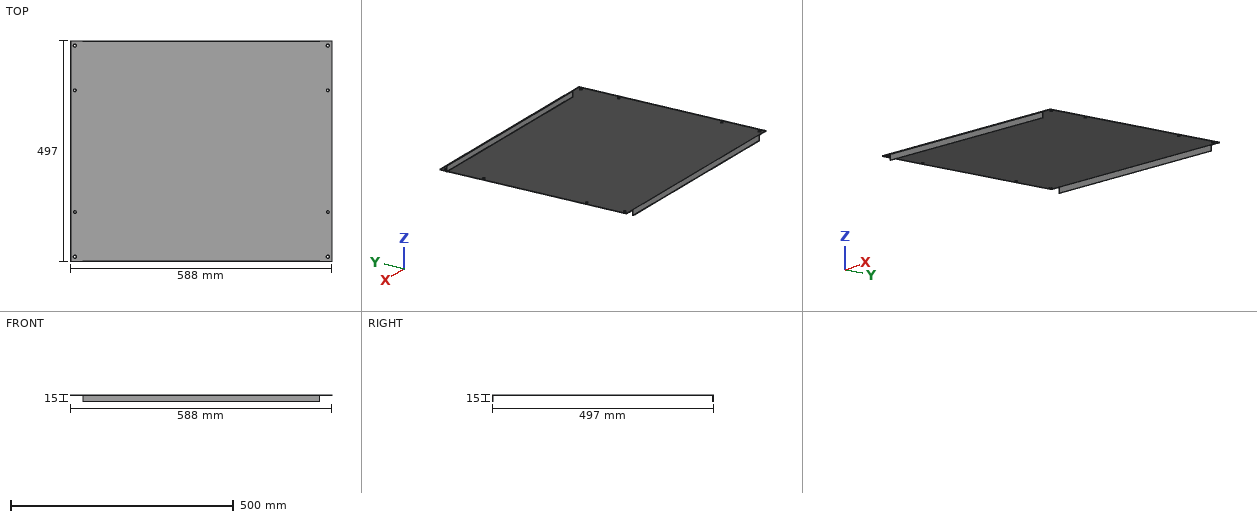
import cadquery as cq

length = 588.0
width = 497.0
height = 15.0
thickness = 1.5

flange_end_gap = 27.5
flange_length = length - 2 * flange_end_gap

hole_edge_distance = 9.5
hole_x = length / 2 - hole_edge_distance
corner_hole_y = 237.5
corner_hole_diameter = 6.5
inner_hole_y = 137.0
inner_hole_diameter = 5.6


def make_plate():
    """Flat sheet with its top face at the full height."""
    return (
        cq.Workplane("XY")
        .workplane(offset=height - thickness)
        .rect(length, width)
        .extrude(thickness)
    )


def make_flange(side):
    """Upright strip flush with the front (-1) or back (+1) edge."""
    center_y = side * (width - thickness) / 2
    return (
        cq.Workplane("XY")
        .center(0, center_y)
        .rect(flange_length, thickness)
        .extrude(height)
    )


def make_hole_cutters(y_distance, diameter):
    """Four vertical cylinders, mirrored about both plate center lines."""
    return (
        cq.Workplane("XY")
        .rect(2 * hole_x, 2 * y_distance, forConstruction=True)
        .vertices()
        .circle(diameter / 2)
        .extrude(height)
    )


result = make_plate()
for side in (-1, 1):
    result = result.union(make_flange(side))
result = result.cut(make_hole_cutters(corner_hole_y, corner_hole_diameter))
result = result.cut(make_hole_cutters(inner_hole_y, inner_hole_diameter))